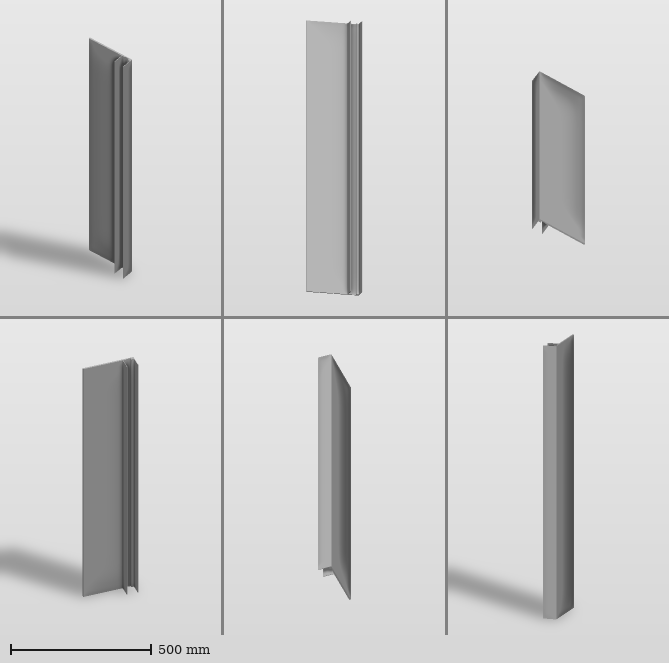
import cadquery as cq

length = 999.0
width = 193.0
depth = 50.0

panel_width = 150.0
panel_thickness = 6.0

post_width = 12.0
post_depth = 11.0
outer_leg_thickness = 2.0
web_thickness = 4.0

inner_leg_thickness = 2.0
inner_leg_end = 48.0
flange_width = 15.0
flange_thickness = panel_thickness - web_thickness


def extrude_outline(points):
    """Extrude a closed XY outline over the full length."""
    return cq.Workplane("XY").polyline(points).close().extrude(length)


def make_panel():
    """Flat panel whose right edge butts against the web and the bracket."""
    return cq.Workplane("XY").box(panel_width, panel_thickness, length, centered=False).translate(
        (0, -panel_thickness, 0)
    )


def make_corner_profile():
    """Web, post and outer leg in one section."""
    post_left = width - post_width
    leg_left = width - outer_leg_thickness
    return extrude_outline([
        (panel_width, 0),
        (width, 0),
        (width, -depth),
        (leg_left, -depth),
        (leg_left, -post_depth),
        (post_left, -post_depth),
        (post_left, -web_thickness),
        (panel_width, -web_thickness),
    ])


def make_angle_bracket():
    """Inner leg with a short flange against the front of the web."""
    leg_right = panel_width + inner_leg_thickness
    flange_right = panel_width + flange_width
    flange_front = -web_thickness - flange_thickness
    return extrude_outline([
        (panel_width, -web_thickness),
        (flange_right, -web_thickness),
        (flange_right, flange_front),
        (leg_right, flange_front),
        (leg_right, -inner_leg_end),
        (panel_width, -inner_leg_end),
    ])


panel = make_panel()
corner_profile = make_corner_profile()
angle_bracket = make_angle_bracket()

result = cq.Compound.makeCompound([panel.val(), corner_profile.val(), angle_bracket.val()])